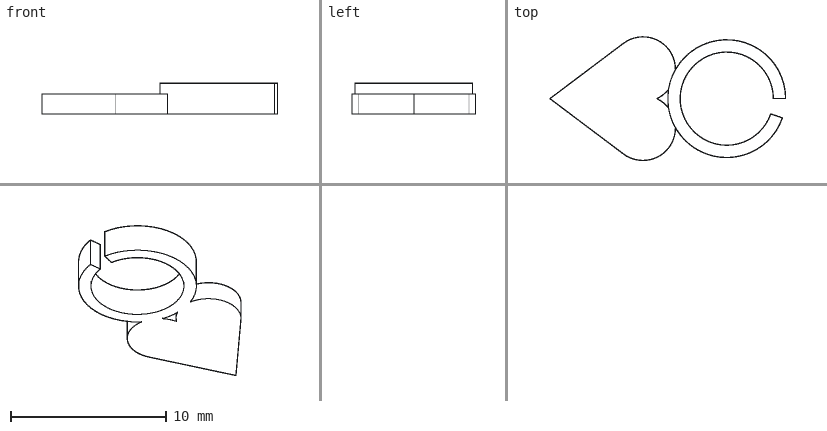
import cadquery as cq
import math

ring_outer_radius = 3.8
ring_inner_radius = 3.0
ring_height = 2.0
gap_angle = 19.0

overall_length = 15.21
overall_width = 7.99
heart_thickness = 1.31
lobe_radius = 2.1
lobe_x = -5.4
lobe_y = overall_width / 2 - lobe_radius
tip_x = ring_outer_radius - overall_length


def polar(radius, degrees):
    angle = math.radians(degrees)
    return (radius * math.cos(angle), radius * math.sin(angle))


def make_ring():
    """C-shaped band running counterclockwise from +X to the gap."""
    end_angle = 360 - gap_angle
    middle_angle = end_angle / 2
    return (
        cq.Workplane("XY")
        .moveTo(*polar(ring_outer_radius, 0))
        .threePointArc(polar(ring_outer_radius, middle_angle), polar(ring_outer_radius, end_angle))
        .lineTo(*polar(ring_inner_radius, end_angle))
        .threePointArc(polar(ring_inner_radius, middle_angle), polar(ring_inner_radius, 0))
        .close()
        .extrude(ring_height)
    )


def make_heart():
    """Two straight sides from the tip, tangent to lobes that meet in a cusp on the X axis."""
    tip_to_lobe = math.hypot(lobe_x - tip_x, lobe_y)
    side_angle = math.atan2(lobe_y, lobe_x - tip_x) + math.asin(lobe_radius / tip_to_lobe)
    tangent_x = lobe_x - lobe_radius * math.sin(side_angle)
    tangent_y = lobe_y + lobe_radius * math.cos(side_angle)
    lobe_end_x = lobe_x + lobe_radius
    cusp_x = lobe_x + math.sqrt(lobe_radius**2 - lobe_y**2)
    return (
        cq.Workplane("XY")
        .moveTo(tip_x, 0)
        .lineTo(tangent_x, tangent_y)
        .threePointArc((lobe_end_x, lobe_y), (cusp_x, 0))
        .threePointArc((lobe_end_x, -lobe_y), (tangent_x, -tangent_y))
        .close()
        .extrude(heart_thickness)
    )


result = make_ring().union(make_heart())